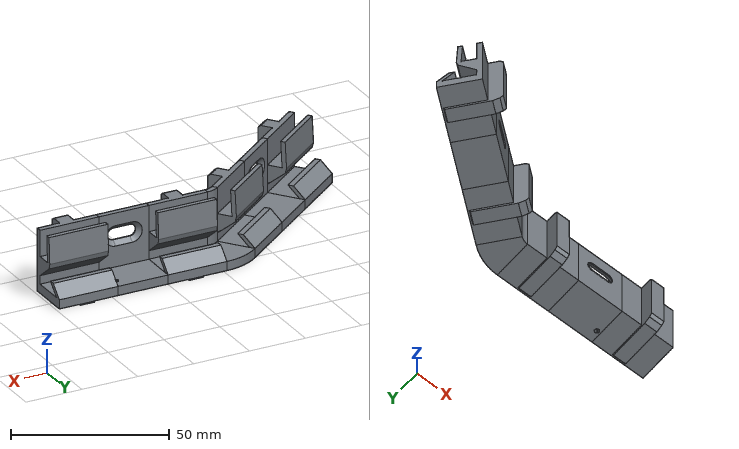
import cadquery as cq
import math


total_length = 119.5
bend_angle = 38.1
clip_length = 21.0
plate_length = 17.9
arm_length = 2 * clip_length + plate_length

rail_width = 15.0
rail_height = 22.1
floor_thickness = 3.2
wall_thickness = 1.9

turn = math.radians(bend_angle)
outer_radius = (total_length - arm_length * (1 + math.cos(turn))) / math.sin(turn)
inner_radius = outer_radius - rail_width

lip_run = 4.1
lip_top = 7.3
lip_thickness = 1.9

web_foot_height = 6.2
knee_height = 11.1
leaf_foot_height = 12.9
leaf_foot_outer = 8.5
leaf_foot_inner = 6.9
leaf_top_outer = 8.0
leaf_top_inner = 6.5

bracket_width = 5.0
bracket_reach = 5.0
bracket_drop = 0.93
tip_chamfer_length = 1.1
tip_chamfer_top = 0.8
tip_chamfer_bottom = 1.1
underside_taper = 2.4
free_end_setback = 0.6
free_end_chamfer = 0.4

slot_length = 10.0
slot_height = 4.1
slot_center_height = 14.1
countersink_height = 7.2
countersink_slope = 45
countersink_depth = (countersink_height - slot_height) / 2 / math.tan(math.radians(countersink_slope))

core_diameter = 0.7
core_hole_diameter = 1.7
core_x = 37.5
core_y = 10.8


def extrude_along_x(outline, length, center_x):
    """Extrude a (y, z) outline along X, centred on center_x."""
    start = cq.Workplane("YZ", origin=(center_x - length / 2, 0, 0))
    return start.polyline(outline).close().extrude(length)


def angle_outline():
    """Plain floor and wall section."""
    return [
        (0, 0),
        (rail_width, 0),
        (rail_width, floor_thickness),
        (wall_thickness, floor_thickness),
        (wall_thickness, rail_height),
        (0, rail_height),
    ]


def clip_outline():
    """Floor with sloped lip, and wall with spring leaf."""
    lip_top_outer = rail_width - lip_run
    return [
        (0, 0),
        (rail_width, 0),
        (rail_width, floor_thickness),
        (lip_top_outer, lip_top),
        (lip_top_outer - lip_thickness, lip_top),
        (rail_width - lip_thickness, floor_thickness),
        (wall_thickness, floor_thickness),
        (wall_thickness, web_foot_height),
        (leaf_top_outer, knee_height),
        (leaf_foot_outer, leaf_foot_height),
        (leaf_top_outer, rail_height),
        (leaf_top_inner, rail_height),
        (leaf_foot_inner, leaf_foot_height),
        (wall_thickness, leaf_foot_height),
        (wall_thickness, rail_height),
        (0, rail_height),
    ]


def bracket_outline():
    """Upright outside the wall with a thin foot under the floor."""
    free_end = rail_width - free_end_setback
    chamfer_start = tip_chamfer_length - bracket_reach
    return [
        (0, rail_height),
        (chamfer_start, rail_height),
        (-bracket_reach, rail_height - tip_chamfer_top),
        (-bracket_reach, tip_chamfer_bottom),
        (chamfer_start, 0),
        (chamfer_start + underside_taper, -bracket_drop),
        (free_end - free_end_chamfer, -bracket_drop),
        (free_end, 0),
        (0, 0),
    ]


def make_clip(center_x):
    clip = extrude_along_x(clip_outline(), clip_length, center_x)
    bracket = extrude_along_x(bracket_outline(), bracket_width, center_x)
    return clip.union(bracket)


def make_screw_slot(center_x):
    """Cutter for a slot through the wall, countersunk from the channel side."""
    inner_face = cq.Workplane("XZ", origin=(center_x, wall_thickness, slot_center_height))
    through = inner_face.slot2D(slot_length, slot_height).extrude(wall_thickness)
    growth = countersink_height - slot_height
    countersink = inner_face.slot2D(slot_length + growth, countersink_height).extrude(
        countersink_depth, taper=countersink_slope
    )
    return through.union(countersink)


def make_plate(center_x):
    plate = extrude_along_x(angle_outline(), plate_length, center_x)
    return plate.cut(make_screw_slot(center_x))


def make_bend():
    """Angle section swept about the bend's centre."""
    axis_y = -inner_radius
    section = cq.Workplane("YZ").polyline(angle_outline()).close()
    return section.revolve(bend_angle, (axis_y, 0, 0), (axis_y, 1, 0))


def make_floor_cylinder(diameter):
    return cq.Workplane("XY", origin=(core_x, core_y, 0)).circle(diameter / 2).extrude(floor_thickness)


def turn_to_angled_arm(body):
    """Swing a body lying along -X about the bend's centre into the angled arm."""
    return body.rotate((0, -inner_radius, 0), (0, -inner_radius, 1), bend_angle)


near_clip_x = clip_length / 2
plate_x = arm_length / 2
far_clip_x = arm_length - clip_length / 2

clips = []
for clip_x in (near_clip_x, far_clip_x):
    clips.append(make_clip(clip_x))
    clips.append(turn_to_angled_arm(make_clip(-clip_x)))

straight_plate = make_plate(plate_x).cut(make_floor_cylinder(core_hole_diameter))
angled_plate = turn_to_angled_arm(make_plate(-plate_x))
bend = make_bend()
core = make_floor_cylinder(core_diameter)

result = cq.Compound.makeCompound(
    [clip.val() for clip in clips]
    + [straight_plate.val(), angled_plate.val(), bend.val(), core.val()]
)